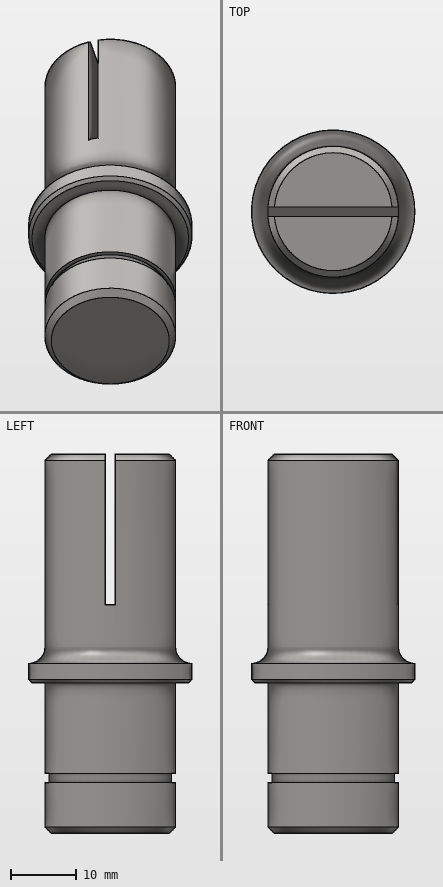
import cadquery as cq
import math

total_height = 58.0
body_radius = 20.0 / 2
flange_radius = 25.0 / 2
end_chamfer = 1.0

groove_bottom = 7.8
groove_width = 1.4
groove_radius = 9.4

flange_bottom = 23.0
flange_top = 26.0
flange_chamfer = 0.5

slot_width = 1.5
slot_bottom = 35.0

cove_radius = flange_radius - body_radius
cove_top = flange_top + cove_radius
cove_mid_offset = cove_radius * math.sqrt(0.5)


def make_pin():
    """Revolve the half profile (radius, height) about the Z axis."""
    groove_top = groove_bottom + groove_width
    end_radius = body_radius - end_chamfer
    cove_middle = (flange_radius - cove_mid_offset, cove_top - cove_mid_offset)
    return (
        cq.Workplane("XZ")
        .lineTo(end_radius, 0)
        .lineTo(body_radius, end_chamfer)
        .lineTo(body_radius, groove_bottom)
        .lineTo(groove_radius, groove_bottom)
        .lineTo(groove_radius, groove_top)
        .lineTo(body_radius, groove_top)
        .lineTo(body_radius, flange_bottom)
        .lineTo(flange_radius - flange_chamfer, flange_bottom)
        .lineTo(flange_radius, flange_bottom + flange_chamfer)
        .lineTo(flange_radius, flange_top)
        .threePointArc(cove_middle, (body_radius, cove_top))
        .lineTo(body_radius, total_height - end_chamfer)
        .lineTo(end_radius, total_height)
        .lineTo(0, total_height)
        .close()
        .revolve(360, (0, 0), (0, 1))
    )


def make_slot():
    """Saw cut along X, open at the top and through both sides."""
    return (
        cq.Workplane("XY")
        .workplane(offset=slot_bottom)
        .rect(2 * flange_radius, slot_width)
        .extrude(total_height - slot_bottom)
    )


result = make_pin().cut(make_slot())